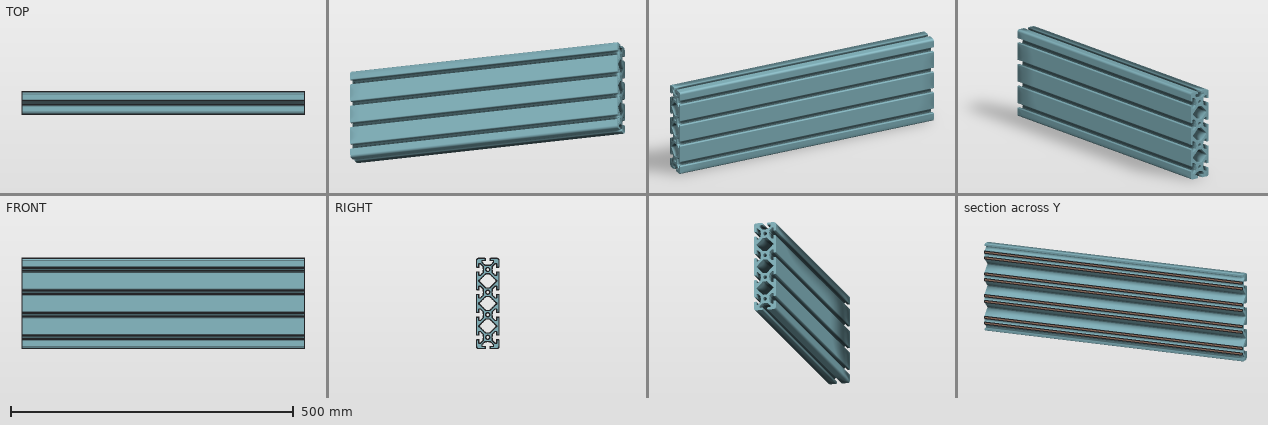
import cadquery as cq

LENGTH = 500.0
MODULE = 40.0
MODULE_COUNT = 4
WIDTH = MODULE
HEIGHT = MODULE * MODULE_COUNT
CORNER_RADIUS = 4.0

SLOT_OPENING = 8.0
SLOT_INNER_WIDTH = 20.0
LIP_THICKNESS = 4.2
LIP_RADIUS = 1.5
CORE_HALF_WIDTH = 8.0
SLOT_FLOOR_WIDTH = 10.6
FLOOR_GROOVE_WIDTH = 4.0
FLOOR_GROOVE_DEPTH = 0.4

CORE_BORE_DIAMETER = 6.8
CAVITY_WIDTH = 31.0
CAVITY_HEIGHT = 24.5
CAVITY_FLAT = 7.2
CAVITY_TIP_HEIGHT = 2.0

HALF_MODULE = MODULE / 2
SLOT_SHOULDER = CORE_HALF_WIDTH + (SLOT_INNER_WIDTH - SLOT_FLOOR_WIDTH) / 2
CAVITY_SHOULDER_WIDTH = CAVITY_FLAT + CAVITY_HEIGHT - CAVITY_TIP_HEIGHT


def prism(section):
    """Extrude a YZ section centred on the X axis along the full length."""
    return section.extrude(LENGTH / 2, both=True)


def module_centres():
    """Heights of the module centres above the middle of the profile."""
    first = -(HEIGHT - MODULE) / 2
    return [first + index * MODULE for index in range(MODULE_COUNT)]


def cavity_centres():
    """Heights midway between neighbouring modules."""
    return [centre + HALF_MODULE for centre in module_centres()[:-1]]


def slot_cutter():
    """T-slot opening toward +Y of a module centred on the X axis."""
    mouth = SLOT_OPENING / 2
    inner = SLOT_INNER_WIDTH / 2
    floor = SLOT_FLOOR_WIDTH / 2
    groove = FLOOR_GROOVE_WIDTH / 2
    lip_back = HALF_MODULE - LIP_THICKNESS
    groove_floor = CORE_HALF_WIDTH - FLOOR_GROOVE_DEPTH
    lip_start = HALF_MODULE - LIP_RADIUS
    section = (
        cq.Workplane("YZ")
        .moveTo(HALF_MODULE, mouth + LIP_RADIUS)
        .radiusArc((lip_start, mouth), LIP_RADIUS)
        .lineTo(lip_back, mouth)
        .lineTo(lip_back, inner)
        .lineTo(SLOT_SHOULDER, inner)
        .lineTo(CORE_HALF_WIDTH, floor)
        .lineTo(CORE_HALF_WIDTH, groove)
        .lineTo(groove_floor, groove)
        .lineTo(groove_floor, -groove)
        .lineTo(CORE_HALF_WIDTH, -groove)
        .lineTo(CORE_HALF_WIDTH, -floor)
        .lineTo(SLOT_SHOULDER, -inner)
        .lineTo(lip_back, -inner)
        .lineTo(lip_back, -mouth)
        .lineTo(lip_start, -mouth)
        .radiusArc((HALF_MODULE, -mouth - LIP_RADIUS), LIP_RADIUS)
        .close()
    )
    return prism(section)


def cut_slots(body):
    """Cut slots on both sides of every module and on the two end modules."""
    cutter = slot_cutter()
    heights = module_centres()
    placements = [(angle, height) for height in heights for angle in (0, 180)]
    placements += [(90, heights[-1]), (-90, heights[0])]
    for angle, height in placements:
        turned = cutter.rotate((0, 0, 0), (1, 0, 0), angle)
        body = body.cut(turned.translate((0, 0, height)))
    return body


def cut_cavities(body):
    """Cut the diamond-shaped voids between neighbouring modules."""
    side = CAVITY_WIDTH / 2
    top = CAVITY_HEIGHT / 2
    shoulder = CAVITY_SHOULDER_WIDTH / 2
    tip = CAVITY_TIP_HEIGHT / 2
    top_flat = CAVITY_FLAT / 2
    outline = [
        (side, tip),
        (shoulder, tip),
        (top_flat, top),
        (-top_flat, top),
        (-shoulder, tip),
        (-side, tip),
        (-side, -tip),
        (-shoulder, -tip),
        (-top_flat, -top),
        (top_flat, -top),
        (shoulder, -tip),
        (side, -tip),
    ]
    cutter = prism(cq.Workplane("YZ").polyline(outline).close())
    for height in cavity_centres():
        body = body.cut(cutter.translate((0, 0, height)))
    return body


def cut_core_bores(body):
    """Cut the round bore through the core of every module."""
    cutter = prism(cq.Workplane("YZ").circle(CORE_BORE_DIAMETER / 2))
    for height in module_centres():
        body = body.cut(cutter.translate((0, 0, height)))
    return body


bar = cq.Workplane("XY").box(LENGTH, WIDTH, HEIGHT).edges("|X").fillet(CORNER_RADIUS)
result = cut_core_bores(cut_cavities(cut_slots(bar)))